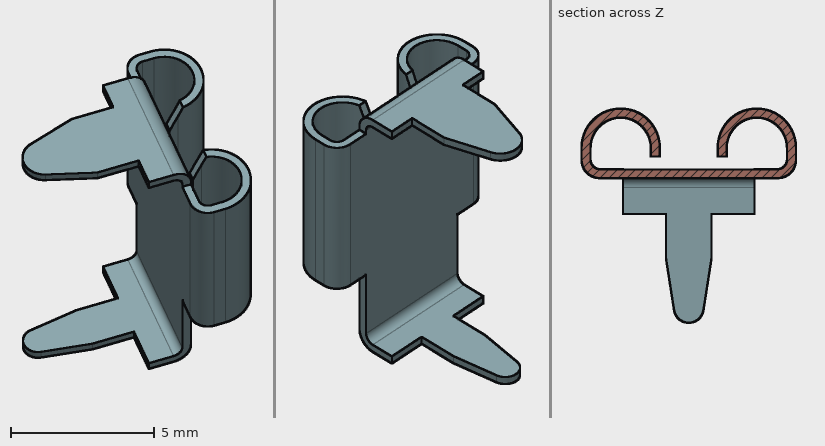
import cadquery as cq
import math

height = 10.46
thickness = 0.32
inner_bend = 0.32
outer_bend = inner_bend + thickness

plate_width = 4.6
shoulder_reach = 1.24

tang_reach = 5.04
taper_start = 2.78
top_tang_width = 2.55
top_tip_radius = 0.76
bottom_tang_width = 1.6
bottom_tip_radius = 0.52

clip_width = 7.49
curl_depth = 2.44
curl_radius = 1.37
curl_inner_radius = curl_radius - thickness
curl_center_x = clip_width / 2 - curl_radius
curl_center_y = curl_depth - curl_radius
lip_end_y = 0.75
wing_bottom = 3.3
wing_top = height - 0.81
lip_chamfer_depth = 0.5
lip_chamfer_angle = 65.0
lip_chamfer_drop = lip_chamfer_depth * math.tan(math.radians(lip_chamfer_angle))


def make_channel():
    """Plate with its two flanges, as a bent strip of constant width."""
    outer = (
        cq.Workplane("YZ")
        .rect(2 * (shoulder_reach + thickness), height)
        .extrude(plate_width / 2, both=True)
        .edges("|X and >Y")
        .fillet(outer_bend)
    )
    inner = (
        cq.Workplane("YZ")
        .rect(2 * shoulder_reach, height - 2 * thickness)
        .extrude(plate_width / 2, both=True)
        .edges("|X and >Y")
        .fillet(inner_bend)
    )
    return outer.cut(inner).intersect(
        cq.Workplane("XY").box(
            plate_width, shoulder_reach + thickness, height, centered=(True, False, True)
        )
    ).translate((0, -shoulder_reach, height / 2))


def make_tang(width, tip_radius, base_z):
    """Flat tang whose tapered sides run tangent into a round tip."""
    half_width = width / 2
    tip_center_y = tip_radius - tang_reach
    taper_length = -taper_start - tip_center_y
    start_distance = math.hypot(half_width, taper_length)
    start_angle = math.atan2(taper_length, half_width)
    tangent_angle = start_angle - math.acos(tip_radius / start_distance)
    tangent_x = tip_radius * math.cos(tangent_angle)
    tangent_y = tip_center_y + tip_radius * math.sin(tangent_angle)
    return (
        cq.Workplane("XY", origin=(0, 0, base_z))
        .moveTo(-half_width, -shoulder_reach)
        .lineTo(half_width, -shoulder_reach)
        .lineTo(half_width, -taper_start)
        .lineTo(tangent_x, tangent_y)
        .threePointArc((0, -tang_reach), (-tangent_x, tangent_y))
        .lineTo(-half_width, -taper_start)
        .close()
        .extrude(thickness)
    )


def make_wing():
    """Right-hand wing, curled back toward the plate, with both lip corners chamfered."""
    outer_x = clip_width / 2
    inner_x = outer_x - thickness
    lip_outer_x = curl_center_x - curl_radius
    lip_inner_x = lip_outer_x + thickness
    bend_x = outer_x - outer_bend
    diagonal = math.sqrt(0.5)
    wing = (
        cq.Workplane("XY", origin=(0, 0, wing_bottom))
        .moveTo(0, 0)
        .lineTo(bend_x, 0)
        .threePointArc(
            (bend_x + outer_bend * diagonal, outer_bend * (1 - diagonal)), (outer_x, outer_bend)
        )
        .lineTo(outer_x, curl_center_y)
        .threePointArc((curl_center_x, curl_depth), (lip_outer_x, curl_center_y))
        .lineTo(lip_outer_x, lip_end_y)
        .lineTo(lip_inner_x, lip_end_y)
        .lineTo(lip_inner_x, curl_center_y)
        .threePointArc(
            (curl_center_x, curl_center_y + curl_inner_radius), (inner_x, curl_center_y)
        )
        .lineTo(inner_x, outer_bend)
        .threePointArc(
            (bend_x + inner_bend * diagonal, outer_bend - inner_bend * diagonal),
            (bend_x, thickness),
        )
        .lineTo(0, thickness)
        .close()
        .extrude(wing_top - wing_bottom)
    )
    for corner_z, direction in ((wing_top, -1), (wing_bottom, 1)):
        chamfer = (
            cq.Workplane("YZ", origin=(lip_outer_x, 0, 0))
            .moveTo(lip_end_y, corner_z)
            .lineTo(lip_end_y + lip_chamfer_depth, corner_z)
            .lineTo(lip_end_y, corner_z + direction * lip_chamfer_drop)
            .close()
            .extrude(curl_radius)
        )
        wing = wing.cut(chamfer)
    return wing


wing = make_wing()
result = (
    make_channel()
    .union(make_tang(top_tang_width, top_tip_radius, height - thickness))
    .union(make_tang(bottom_tang_width, bottom_tip_radius, 0))
    .union(wing)
    .union(wing.mirror("YZ"))
    .clean()
)